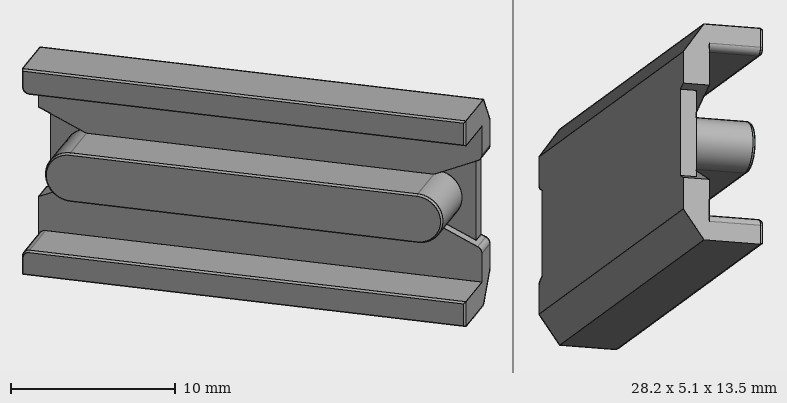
import cadquery as cq
import math

length = 28.2
depth = 5.1
height = 13.5
web_thickness = 1.65
rail_thickness = 1.64
back_bevel_depth = 1.33
back_bevel_height = 1.83

bar_length = 25.27
bar_height = 3.2

notch_mouth_height = 5.9
notch_depth = 3.05
tongue_thickness = 1.02
tongue_setback = 0.55

tip_bevel_depth = 0.17
tip_bevel_inset = 0.1
corner_radius = 0.45

half_length = length / 2
half_height = height / 2
back = depth / 2
web_front = back - web_thickness
tongue_front = back - tongue_thickness
tip_bevel_angle = math.degrees(math.atan2(tip_bevel_inset, tip_bevel_depth))


def make_web():
    """Flat web, full height, before the back corners are beveled."""
    return cq.Workplane("XY").box(length, web_thickness, height).translate(
        (0, back - web_thickness / 2, 0)
    )


def make_notch(side):
    """Tapered cutter narrowing from the end of the web to the bar height."""
    mouth = side * half_length
    inner = side * (half_length - notch_depth)
    outline = [
        (mouth, notch_mouth_height / 2),
        (inner, bar_height / 2),
        (inner, -bar_height / 2),
        (mouth, -notch_mouth_height / 2),
    ]
    return cq.Workplane("XZ", origin=(0, back, 0)).polyline(outline).close().extrude(web_thickness)


def make_tongue(side):
    """Thin plate filling the back of a notch, set in from the end of the web."""
    setback = cq.Workplane("XY").box(2 * tongue_setback, depth, height)
    setback = setback.translate((side * half_length, 0, 0))
    slab = cq.Workplane("XY").box(length, tongue_thickness, height)
    slab = slab.translate((0, back - tongue_thickness / 2, 0))
    return make_notch(side).intersect(slab).cut(setback)


def add_beveled_tip(prong):
    """Finish a prong with a short tapered layer on its front face."""
    return prong.faces("<Y").wires().toPending().workplane().extrude(
        tip_bevel_depth, taper=tip_bevel_angle
    )


def make_rail(side):
    """Rail along one long edge, with its inner corner rounded at the -X end."""
    center_z = side * (half_height - rail_thickness / 2)
    inner_face = "<Z" if side > 0 else ">Z"
    rail = (
        cq.Workplane("XZ", origin=(0, web_front, center_z))
        .rect(length, rail_thickness)
        .extrude(depth - web_thickness - tip_bevel_depth)
        .faces(inner_face)
        .edges("<X")
        .fillet(corner_radius)
    )
    return add_beveled_tip(rail)


def make_bar():
    bar = (
        cq.Workplane("XZ", origin=(0, tongue_front, 0))
        .slot2D(bar_length, bar_height)
        .extrude(depth - tongue_thickness - tip_bevel_depth)
    )
    return add_beveled_tip(bar)


def make_back_bevel(side):
    """Triangular cutter along one long back corner."""
    outer = side * half_height
    outline = [
        (back, outer),
        (back - back_bevel_depth, outer),
        (back, outer - side * back_bevel_height),
    ]
    return cq.Workplane("YZ").polyline(outline).close().extrude(half_length, both=True)


web = make_web()
for side in (-1, 1):
    web = web.cut(make_notch(side))

inner_band = cq.selectors.BoxSelector(
    (half_length - corner_radius, -depth, -notch_mouth_height),
    (half_length + corner_radius, depth, notch_mouth_height),
)
result = web.edges("|Y").edges(inner_band).fillet(corner_radius)

for side in (-1, 1):
    result = result.union(make_tongue(side))
    result = result.union(make_rail(side))
    result = result.cut(make_back_bevel(side))
result = result.union(make_bar())